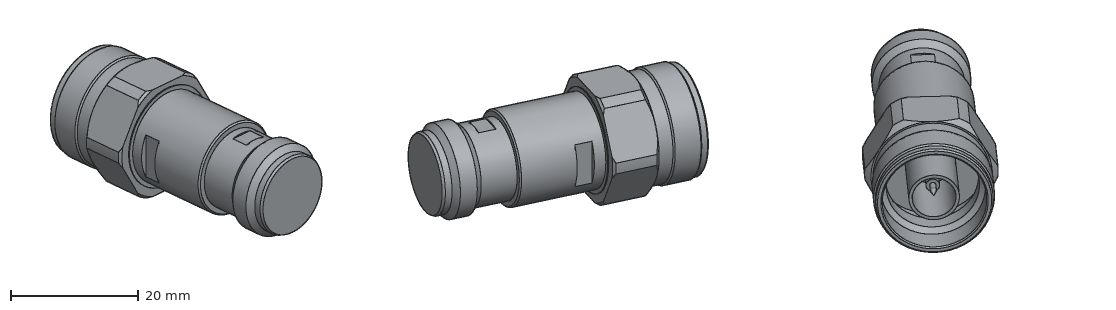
import cadquery as cq
import math

LENGTH = 44.75

RIM_RADIUS = 9.25
RIM_CHAMFER = 0.25
COLLAR_RADIUS = 9.55
COLLAR_START = 1.25
COLLAR_END = 6.2
COLLAR_CHAMFER = COLLAR_RADIUS - RIM_RADIUS

HEX_START = 8.73
HEX_END = 17.0
HEX_FLATS = 19.1
HEX_CORNER_RADIUS = 10.5
HEX_FRONT_BEVEL = 0.8
HEX_BACK_BEVEL = 0.4
HEX_BACK_RADIUS = 10.1
WASHER_RADIUS = 8.65
WASHER_END = 17.2

BARREL_RADIUS = 7.9
BARREL_END = 31.95
BARREL_CHAMFER = 0.25
NECK_RADIUS = 6.8
RING_RADIUS = 7.8
RING_FRONT_BEVEL_START = 38.13
RING_START = 39.25
RING_END = 42.15
RING_BACK_BEVEL_END = RING_END + RING_RADIUS - NECK_RADIUS
END_CHAMFER_LENGTH = 0.45
END_CHAMFER_DEPTH = 0.22

FLAT_WIDTH = 2.95
BARREL_FLAT_START = 19.15
BARREL_FLAT_OFFSET = 7.0
NECK_FLAT_START = 33.45
NECK_FLAT_OFFSET = 6.55

MOUTH_RADIUS = 8.25
MOUTH_CHAMFER = 0.22
SOCKET_RADIUS = 7.35
TAPER_START = 4.4
TAPER_END = 5.15
UNDERCUT_START = 8.05
UNDERCUT_RADIUS = 8.85
SOCKET_DEPTH = 12.55

TUBE_START = 1.35
TUBE_OUTER_RADIUS = 4.0
TUBE_INNER_RADIUS = 3.45
PIN_TIP = 1.95
PIN_CONE_LENGTH = 1.65
PIN_RADIUS = 0.5
PIN_SHOULDER_START = 5.35
PIN_SHOULDER_RADIUS = 1.07


def revolved(profile):
    """Solid of revolution about X from (x, radius) points; it closes along the axis."""
    first_x = profile[0][0]
    last_x = profile[-1][0]
    points = [(first_x, 0)] + profile + [(last_x, 0)]
    return cq.Workplane("XY").polyline(points).close().revolve(360, (0, 0), (1, 0))


def cylinder(start, end, radius):
    return cq.Workplane("YZ", origin=(start, 0, 0)).circle(radius).extrude(end - start)


def make_sleeve():
    return revolved([
        (0, RIM_RADIUS - RIM_CHAMFER),
        (RIM_CHAMFER, RIM_RADIUS),
        (COLLAR_START, RIM_RADIUS),
        (COLLAR_START + COLLAR_CHAMFER, COLLAR_RADIUS),
        (COLLAR_END - COLLAR_CHAMFER, COLLAR_RADIUS),
        (COLLAR_END, RIM_RADIUS),
        (HEX_START, RIM_RADIUS),
    ])


def make_hexagon():
    """Hexagon with flats facing +Z and -Z, its corners rounded and bevelled at both ends."""
    across_corners = HEX_FLATS / math.cos(math.radians(30))
    prism = (
        cq.Workplane("YZ", origin=(HEX_START, 0, 0))
        .polygon(6, across_corners)
        .extrude(HEX_END - HEX_START)
    )
    envelope = revolved([
        (HEX_START, HEX_FLATS / 2),
        (HEX_START + HEX_FRONT_BEVEL, HEX_CORNER_RADIUS),
        (HEX_END - HEX_BACK_BEVEL, HEX_CORNER_RADIUS),
        (HEX_END, HEX_BACK_RADIUS),
    ])
    return prism.intersect(envelope)


def make_barrel():
    return revolved([
        (HEX_START, WASHER_RADIUS),
        (WASHER_END, WASHER_RADIUS),
        (WASHER_END, BARREL_RADIUS),
        (BARREL_END - BARREL_CHAMFER, BARREL_RADIUS),
        (BARREL_END, BARREL_RADIUS - BARREL_CHAMFER),
        (BARREL_END, NECK_RADIUS),
        (RING_FRONT_BEVEL_START, NECK_RADIUS),
        (RING_START, RING_RADIUS),
        (RING_END, RING_RADIUS),
        (RING_BACK_BEVEL_END, NECK_RADIUS),
        (LENGTH - END_CHAMFER_LENGTH, NECK_RADIUS),
        (LENGTH, NECK_RADIUS - END_CHAMFER_DEPTH),
    ])


def flat_cutters(start, offset, body_radius):
    """Two blocks that cut opposite flats facing +Y and -Y into a round body."""
    size = 2 * body_radius
    block = cq.Workplane("XY").box(FLAT_WIDTH, size, size, centered=(False, False, True))
    upper = block.translate((start, offset, 0))
    return upper.union(upper.mirror("XZ"))


def make_socket():
    """Hollow of the nut: bevelled mouth, taper to a lip, then a wider undercut behind the lip."""
    return revolved([
        (0, MOUTH_RADIUS + MOUTH_CHAMFER),
        (MOUTH_CHAMFER, MOUTH_RADIUS),
        (TAPER_START, MOUTH_RADIUS),
        (TAPER_END, SOCKET_RADIUS),
        (UNDERCUT_START, SOCKET_RADIUS),
        (UNDERCUT_START, UNDERCUT_RADIUS),
        (SOCKET_DEPTH, UNDERCUT_RADIUS),
    ])


def make_tube():
    outside = cylinder(TUBE_START, SOCKET_DEPTH, TUBE_OUTER_RADIUS)
    return outside.cut(cylinder(TUBE_START, SOCKET_DEPTH, TUBE_INNER_RADIUS))


def make_pin():
    """Pointed contact pin standing on a thicker shoulder."""
    cone_end = PIN_TIP + PIN_CONE_LENGTH
    profile = cq.Workplane("XY").polyline([
        (PIN_TIP, 0),
        (cone_end, PIN_RADIUS),
        (PIN_SHOULDER_START, PIN_RADIUS),
        (PIN_SHOULDER_START, PIN_SHOULDER_RADIUS),
        (SOCKET_DEPTH, PIN_SHOULDER_RADIUS),
        (SOCKET_DEPTH, 0),
    ])
    return profile.close().revolve(360, (0, 0), (1, 0))


body = make_sleeve().union(make_hexagon()).union(make_barrel())
barrel_flats = flat_cutters(BARREL_FLAT_START, BARREL_FLAT_OFFSET, BARREL_RADIUS)
neck_flats = flat_cutters(NECK_FLAT_START, NECK_FLAT_OFFSET, NECK_RADIUS)
neck_flats = neck_flats.rotate((0, 0, 0), (1, 0, 0), 90)
body = body.cut(barrel_flats).cut(neck_flats).cut(make_socket())

result = body.union(make_tube()).union(make_pin())